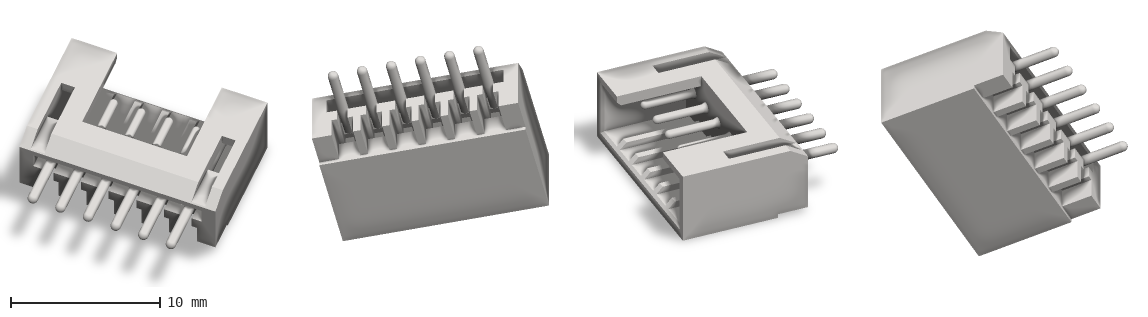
import cadquery as cq

body_width = 14.2
overall_depth = 12.3
body_depth = 9.2
body_height = 5.1
pin_count = 6
pin_pitch = 2.0

bevel_depth = 1.3
bevel_height = 0.78
step_depth = 2.2
step_height = 0.28

cavity_front = 3.01
floor_height = 0.8
roof_thickness = 0.78
mouth_chamfer = 0.2
roof_chamfer = 0.3
roof_opening_width = 7.58

ridge_width = 0.51
ridge_height = 0.48

key_slot_width = 1.0
key_slot_offset = 5.82
key_slot_rear = 5.47
key_slot_depth = 0.72

window_width = 12.2
window_bottom = 2.67
window_top = 3.88
neck_width = 0.74
neck_depth = 2.55
tail_slot_width = pin_pitch - ridge_width
tail_slot_height = 1.79

pin_height = 3.04
tail_radius = 0.35
tail_length = overall_depth - body_depth
contact_radius = 0.3
contact_tip = 6.9
collar_radius = 0.4
collar_length = 0.28

cavity_width = 2 * key_slot_offset + key_slot_width
cavity_roof = body_height - roof_thickness
pin_positions = [(i - (pin_count - 1) / 2) * pin_pitch for i in range(pin_count)]
ridge_positions = [x + pin_pitch / 2 for x in pin_positions[:-1]]


def block(width, y_range, z_range, x_center=0.0):
    """Box centred on x_center that spans the given y and z ranges."""
    depth = y_range[1] - y_range[0]
    height = z_range[1] - z_range[0]
    corner = (x_center - width / 2, y_range[0], z_range[0])
    return cq.Workplane("XY").box(width, depth, height, centered=False).translate(corner)


def side_profile(points, width, x_center=0.0):
    """Prism along X, centred on x_center, from an outline of (y, z) points."""
    prism = cq.Workplane("YZ").polyline(points).close().extrude(width / 2, both=True)
    return prism.translate((x_center, 0, 0))


def outer_body():
    outline = [
        (0, step_height),
        (step_depth, step_height),
        (step_depth, 0),
        (body_depth, 0),
        (body_depth, body_height),
        (bevel_depth, body_height),
        (0, body_height - bevel_height),
    ]
    return side_profile(outline, body_width)


def cavity():
    """Cavity with a chamfered mouth; the chamfer on the roof edge is the largest."""
    box = block(cavity_width, (cavity_front, body_depth), (floor_height, cavity_roof))
    mouth_width = cavity_width + 2 * mouth_chamfer
    mouth_bottom = floor_height - mouth_chamfer
    mouth_top = cavity_roof + roof_chamfer
    lead_in = (
        cq.Workplane("XZ", origin=(0, body_depth, (mouth_bottom + mouth_top) / 2))
        .rect(mouth_width, mouth_top - mouth_bottom)
        .extrude(roof_chamfer, taper=45)
    )
    return box.union(lead_in)


def floor_ridge(x):
    """Ridge whose rear end continues the slope of the floor's lead-in."""
    ridge_top = floor_height + ridge_height
    floor_end = body_depth - mouth_chamfer
    outline = [
        (cavity_front, floor_height),
        (floor_end, floor_height),
        (floor_end - ridge_height, ridge_top),
        (cavity_front, ridge_top),
    ]
    return side_profile(outline, ridge_width, x)


def front_recess():
    """Window across all pins, with a narrow neck and a wider slot below each pin."""
    y_range = (0, step_depth)
    recess = block(window_width, y_range, (window_bottom, window_top))
    for x in pin_positions:
        neck = block(neck_width, (0, neck_depth), (tail_slot_height, window_bottom), x)
        tail_slot = block(tail_slot_width, y_range, (0, tail_slot_height), x)
        recess = recess.union(neck).union(tail_slot)
    return recess


def pin(x):
    """Pin with domed ends and a tapered collar where it enters the cavity."""
    collar_end = cavity_front + collar_length
    half_outline = (
        cq.Workplane("XY")
        .moveTo(0, -tail_length)
        .radiusArc((tail_radius, tail_radius - tail_length), -tail_radius)
        .lineTo(tail_radius, cavity_front)
        .lineTo(collar_radius, cavity_front)
        .lineTo(contact_radius, collar_end)
        .lineTo(contact_radius, contact_tip - contact_radius)
        .radiusArc((0, contact_tip), -contact_radius)
        .close()
    )
    return half_outline.revolve(360, (0, 0, 0), (0, 1, 0)).translate((x, 0, pin_height))


def roof_opening():
    """Opening that uncovers the middle of the cavity."""
    return block(roof_opening_width, (cavity_front, body_depth), (cavity_roof, body_height))


def key_slot(x):
    """Slot in the roof that breaks through into the cavity behind its front wall."""
    slot_floor = body_height - key_slot_depth
    slot = block(key_slot_width, (0, key_slot_rear), (slot_floor, body_height), x)
    breakthrough = block(key_slot_width, (cavity_front, key_slot_rear), (cavity_roof, body_height), x)
    return slot.union(breakthrough)


result = outer_body().cut(cavity()).cut(front_recess()).cut(roof_opening())

for side in (-1, 1):
    result = result.cut(key_slot(side * key_slot_offset))

for x in ridge_positions:
    result = result.union(floor_ridge(x))

for x in pin_positions:
    result = result.union(pin(x))